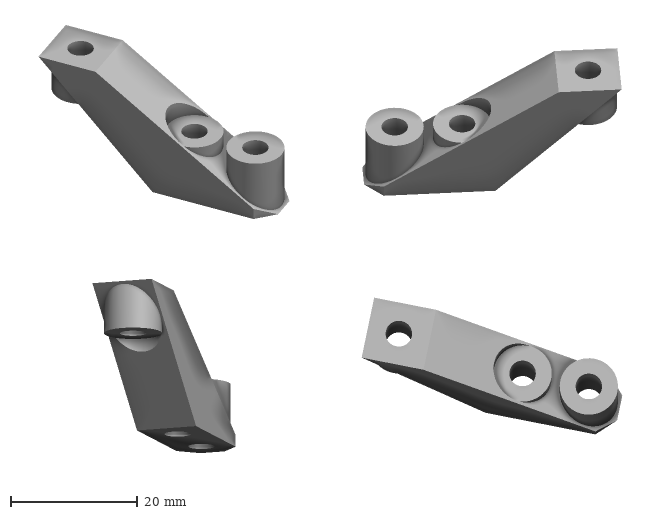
import cadquery as cq
import math

overall_side = 33.75
height = 20.0
width = 10.0
boss_diameter = 9.2
hole_diameter = 4.2
lean_run = height
upper_seat_height = 12.52

half_width = width / 2
lower_seat_height = height / 2
upper_hole = half_width
middle_hole = 2.5 * width
end_hole = math.sqrt(2) * (overall_side - half_width) - half_width
arm_length = end_hole + half_width
corner_cut = width * (1 - math.sqrt(0.5))


def cylinder(position, diameter, bottom, top):
    """Vertical cylinder on the arm's centre line."""
    return (
        cq.Workplane("XY", origin=(position, 0, bottom))
        .circle(diameter / 2)
        .extrude(top - bottom)
    )


arm = (
    cq.Workplane("XZ")
    .moveTo(0, height)
    .lineTo(width, height)
    .lineTo(arm_length, 0)
    .lineTo(lean_run, 0)
    .close()
    .extrude(half_width, both=True)
)
plan = (
    cq.Workplane("XY")
    .rect(arm_length, width)
    .extrude(height)
    .edges("|Z and >X")
    .chamfer(corner_cut)
    .translate((arm_length / 2, 0, 0))
)
body = arm.intersect(plan)

for position in (middle_hole, end_hole):
    body = body.cut(cylinder(position, boss_diameter, lower_seat_height, height))
    body = body.union(cylinder(position, boss_diameter, 0, lower_seat_height))

body = body.cut(cylinder(upper_hole, boss_diameter, 0, upper_seat_height))
body = body.union(cylinder(upper_hole, boss_diameter, upper_seat_height, height))

for position in (upper_hole, middle_hole, end_hole):
    body = body.cut(cylinder(position, hole_diameter, 0, height))

result = body.rotate((0, 0, 0), (0, 0, 1), 45)